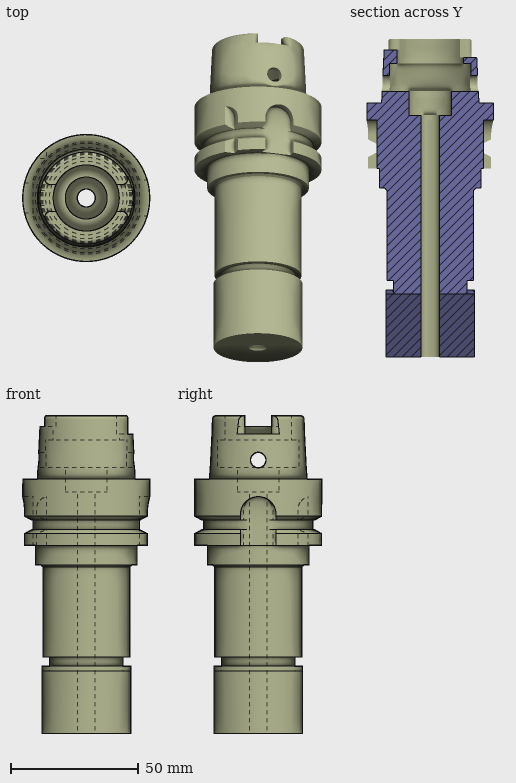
import cadquery as cq

TOTAL_LENGTH = 125.0
RING_BOTTOM = 24.6
RING_TOP = 26.5
NECK_TOP = 30.0
SHAFT_TOP = 65.5
COLLAR_BOTTOM = 66.2
FLANGE_BOTTOM = 74.0
FLANGE_TOP = 100.0

NECK_RADIUS = 14.5
SHAFT_RADIUS = 17.1
SHAFT_CHAMFER = COLLAR_BOTTOM - SHAFT_TOP
COLLAR_RADIUS = 20.0
FLANGE_RADIUS = 25.0
TAPER_BASE_RADIUS = 19.2
TAPER_TOP_RADIUS = 18.0
RIM_FILLET = 1.6

GROOVE_CENTER = 82.0
GROOVE_RADIUS = 21.5
GROOVE_FLOOR_WIDTH = 3.8
GROOVE_CHAMFER_RADIUS = 22.1
GROOVE_MOUTH_WIDTH = 6.9

BORE_RADIUS = 13.0
LIP_BOTTOM = 115.4
UNDERCUT_RADIUS = 16.0
BORE_FLOOR = 104.5
COUNTERBORE_RADIUS = 8.2
COUNTERBORE_FLOOR = 95.0
COOLANT_RADIUS = 3.5

NOTCH_HALF_WIDTH = 5.2
NOTCH_SHOULDER = 16.4
NOTCH_CORNER_RADIUS = 2.5
LEFT_NOTCH_DEPTH = 4.2
RIGHT_NOTCH_DEPTH = 7.2

CROSS_HOLE_RADIUS = 3.0
CROSS_HOLE_LEVEL = 107.5

SLOT_TOP = 93.1
SLOT_FLOOR = 21.0
LEFT_SLOT_RADIUS = 5.9
RIGHT_SLOT_RADIUS = 7.0
CORNER_SLOT_RADIUS = 5.0
CORNER_SLOT_FLOOR = 15.6
CORNER_SLOT_EDGE = 15.6

NUT_RADIUS = 17.5


def revolve(points):
    """Turn an outline of (radius, height) points about the Z axis."""
    return cq.Workplane("XZ").polyline(points).close().revolve(360, (0, 0, 0), (0, 1, 0))


def holder_blank():
    floor_half = GROOVE_FLOOR_WIDTH / 2
    mouth_half = GROOVE_MOUTH_WIDTH / 2
    blank = revolve([
        (0, RING_BOTTOM),
        (NECK_RADIUS, RING_BOTTOM),
        (NECK_RADIUS, NECK_TOP),
        (SHAFT_RADIUS, NECK_TOP),
        (SHAFT_RADIUS, SHAFT_TOP),
        (SHAFT_RADIUS + SHAFT_CHAMFER, COLLAR_BOTTOM),
        (COLLAR_RADIUS, COLLAR_BOTTOM),
        (COLLAR_RADIUS, FLANGE_BOTTOM),
        (FLANGE_RADIUS, FLANGE_BOTTOM),
        (FLANGE_RADIUS, GROOVE_CENTER - mouth_half),
        (GROOVE_CHAMFER_RADIUS, GROOVE_CENTER - floor_half),
        (GROOVE_RADIUS, GROOVE_CENTER - floor_half),
        (GROOVE_RADIUS, GROOVE_CENTER + floor_half),
        (GROOVE_CHAMFER_RADIUS, GROOVE_CENTER + floor_half),
        (FLANGE_RADIUS, GROOVE_CENTER + mouth_half),
        (FLANGE_RADIUS, FLANGE_TOP),
        (TAPER_BASE_RADIUS, FLANGE_TOP),
        (TAPER_TOP_RADIUS, TOTAL_LENGTH),
        (0, TOTAL_LENGTH),
    ])
    return blank.faces(">Z").edges().fillet(RIM_FILLET)


def holder_bore():
    return revolve([
        (0, RING_BOTTOM),
        (COOLANT_RADIUS, RING_BOTTOM),
        (COOLANT_RADIUS, COUNTERBORE_FLOOR),
        (COUNTERBORE_RADIUS, COUNTERBORE_FLOOR),
        (COUNTERBORE_RADIUS, BORE_FLOOR),
        (UNDERCUT_RADIUS, BORE_FLOOR),
        (UNDERCUT_RADIUS, LIP_BOTTOM),
        (BORE_RADIUS, LIP_BOTTOM),
        (BORE_RADIUS, TOTAL_LENGTH),
        (0, TOTAL_LENGTH),
    ])


def rim_notch(depth):
    """Cutter on the +X side: a channel that opens into a wide shoulder over two rounded corners."""
    channel = (
        cq.Workplane("XY")
        .moveTo(0, -NOTCH_HALF_WIDTH)
        .lineTo(NOTCH_SHOULDER - NOTCH_CORNER_RADIUS, -NOTCH_HALF_WIDTH)
        .radiusArc((NOTCH_SHOULDER, -NOTCH_HALF_WIDTH - NOTCH_CORNER_RADIUS), NOTCH_CORNER_RADIUS)
        .lineTo(NOTCH_SHOULDER, -FLANGE_RADIUS)
        .lineTo(FLANGE_RADIUS, -FLANGE_RADIUS)
        .lineTo(FLANGE_RADIUS, FLANGE_RADIUS)
        .lineTo(NOTCH_SHOULDER, FLANGE_RADIUS)
        .lineTo(NOTCH_SHOULDER, NOTCH_HALF_WIDTH + NOTCH_CORNER_RADIUS)
        .radiusArc((NOTCH_SHOULDER - NOTCH_CORNER_RADIUS, NOTCH_HALF_WIDTH), NOTCH_CORNER_RADIUS)
        .lineTo(0, NOTCH_HALF_WIDTH)
        .close()
        .extrude(depth)
    )
    return channel.translate((0, 0, TOTAL_LENGTH - depth))


def cross_hole():
    return (
        cq.Workplane("YZ")
        .center(0, CROSS_HOLE_LEVEL)
        .circle(CROSS_HOLE_RADIUS)
        .extrude(FLANGE_RADIUS, both=True)
    )


def flange_slot(radius, floor, center_y=0):
    """Cutter on the +X side: open at the flange underside, round at the top, flat floor at x = floor."""
    spring_line = SLOT_TOP - radius
    return (
        cq.Workplane("YZ", origin=(floor, 0, 0))
        .moveTo(center_y - radius, FLANGE_BOTTOM)
        .lineTo(center_y - radius, spring_line)
        .threePointArc((center_y, SLOT_TOP), (center_y + radius, spring_line))
        .lineTo(center_y + radius, FLANGE_BOTTOM)
        .close()
        .extrude(FLANGE_RADIUS)
    )


def to_left(cutter):
    """Mirror a +X side cutter to the -X side."""
    return cutter.mirror("YZ")


def make_holder():
    holder = holder_blank().cut(holder_bore()).cut(cross_hole())
    corner_slot_center = CORNER_SLOT_EDGE + CORNER_SLOT_RADIUS
    side_cutters = [
        rim_notch(RIGHT_NOTCH_DEPTH),
        to_left(rim_notch(LEFT_NOTCH_DEPTH)),
        flange_slot(RIGHT_SLOT_RADIUS, SLOT_FLOOR),
        to_left(flange_slot(LEFT_SLOT_RADIUS, SLOT_FLOOR)),
        to_left(flange_slot(CORNER_SLOT_RADIUS, CORNER_SLOT_FLOOR, corner_slot_center)),
    ]
    for cutter in side_cutters:
        holder = holder.cut(cutter)
    return holder


def make_ring():
    """Flat ring around the lower end of the holder neck, resting on the nut."""
    return (
        cq.Workplane("XY", origin=(0, 0, RING_BOTTOM))
        .circle(NUT_RADIUS)
        .circle(NECK_RADIUS)
        .extrude(RING_TOP - RING_BOTTOM)
    )


def make_nut():
    return cq.Workplane("XY").circle(NUT_RADIUS).circle(COOLANT_RADIUS).extrude(RING_BOTTOM)


holder = make_holder()
ring = make_ring()
nut = make_nut()
result = cq.Compound.makeCompound([holder.solids().val(), ring.val(), nut.val()])